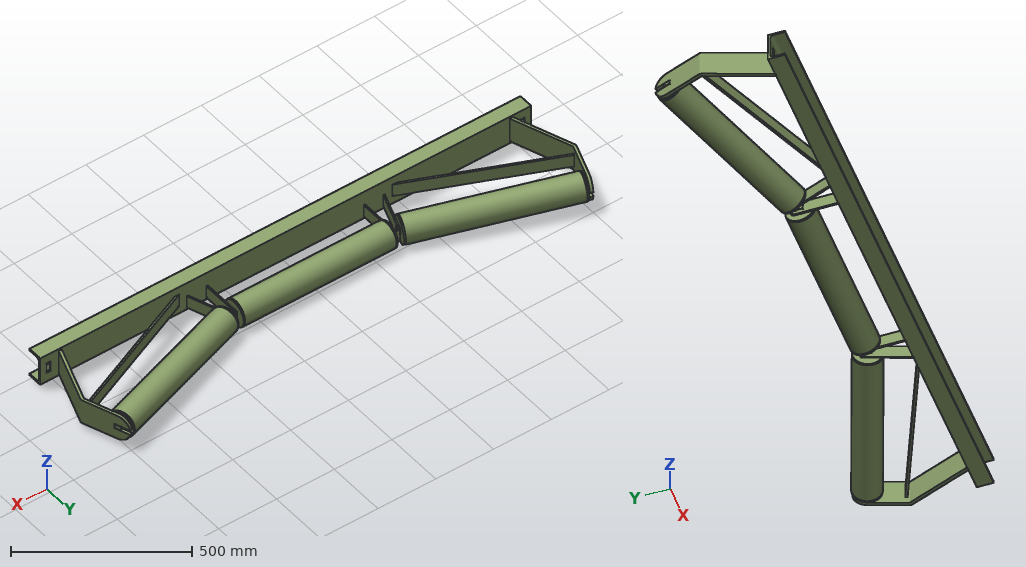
import cadquery as cq
import math


channel_length = 1700.0
channel_height = 100.0
flange_depth = 50.0
section_thickness = 6.0
channel_fillet = 12.0
mount_hole_width = 14.0
mount_hole_height = 35.0
mount_hole_x = 820.0

roller_length = 535.0
roller_diameter = 89.0
rim_diameter = 87.0
rim_length = 5.0
shaft_diameter = 22.0
shaft_flat = 14.0
trough_angle = 20.0
forward_tilt = 2.0
centre_roller_y = 117.0
centre_roller_z = -20.0

outer_height = 85.0
outer_thickness = 10.0
outer_bend_radius = 15.0
outer_half_span = 857.0
outer_foot_x = 787.0
outer_prong_y = 348.0
shaft_to_tip = 41.0
slot_width = 15.0
side_roller_gap = 3.0

inner_height = 43.0
inner_thickness = 5.0
inner_bend_radius = 7.0
inner_top_y = 139.0
inner_leg_gap = 2.5
inner_foot_x = 338.0

strut_thickness = 7.0
strut_height = 43.0
strut_angle = 23.6
strut_foot_x = 368.0

sin_trough = math.sin(math.radians(trough_angle))
cos_trough = math.cos(math.radians(trough_angle))
tan_trough = math.tan(math.radians(trough_angle))

corner_x = outer_half_span + outer_bend_radius * (1 / cos_trough - 1)
corner_y = (corner_x - outer_foot_x) / tan_trough

tip_radius = outer_height / 2
prong_drop = tip_radius - math.sqrt(tip_radius**2 - (slot_width / 2) ** 2)
upper_leg_length = (outer_prong_y - corner_y) / cos_trough + prong_drop

shaft_seat = upper_leg_length - shaft_to_tip
shaft_end_x = -corner_x + shaft_seat * sin_trough
shaft_end_y = corner_y + shaft_seat * cos_trough

side_shaft_length = shaft_end_y * sin_trough - (inner_foot_x + shaft_end_x) * cos_trough

inner_leg_x = roller_length / 2 + inner_leg_gap
inner_bottom_z = -outer_height / 2


def mirrored(body):
    return body.mirror("YZ")


def make_channel():
    half_height = channel_height / 2
    profile = (
        cq.Workplane("YZ")
        .moveTo(0, -half_height)
        .lineTo(0, half_height)
        .lineTo(-flange_depth, half_height)
        .lineTo(-flange_depth, half_height - section_thickness)
        .lineTo(-section_thickness, half_height - section_thickness)
        .lineTo(-section_thickness, section_thickness - half_height)
        .lineTo(-flange_depth, section_thickness - half_height)
        .lineTo(-flange_depth, -half_height)
        .close()
    )
    beam = profile.extrude(channel_length / 2, both=True)
    for side in (-1, 1):
        inside_corner = (0, -section_thickness, side * (half_height - section_thickness))
        beam = beam.edges(cq.selectors.NearestToPointSelector(inside_corner)).fillet(channel_fillet)
    holes = (
        cq.Workplane("XZ")
        .pushPoints([(-mount_hole_x, 0), (mount_hole_x, 0)])
        .rect(mount_hole_width, mount_hole_height)
        .extrude(section_thickness)
    )
    return beam.cut(holes)


def make_roller(tube_start, shaft_length):
    """A roller along +X whose flatted shaft starts at the origin."""
    def cylinder(start, length, diameter):
        return cq.Workplane("YZ", origin=(start, 0, 0)).circle(diameter / 2).extrude(length)

    flats = cq.Workplane("XY").box(2 * shaft_length, shaft_diameter, shaft_flat)
    shaft = cylinder(0, shaft_length, shaft_diameter).intersect(flats)
    rims = cylinder(tube_start, roller_length, rim_diameter)
    tube = cylinder(tube_start + rim_length, roller_length - 2 * rim_length, roller_diameter)
    return tube.union(rims).union(shaft)


def make_centre_roller():
    tube_start = inner_leg_gap + inner_thickness
    shaft_length = roller_length + 2 * tube_start
    roller = make_roller(tube_start, shaft_length)
    return roller.translate((-shaft_length / 2, centre_roller_y, centre_roller_z))


def on_side_axis(body):
    """Move a body from the X axis onto the axis of the left side roller."""
    tilted = body.rotate((0, 0, 0), (0, 1, 0), forward_tilt)
    sloped = tilted.rotate((0, 0, 0), (0, 0, 1), -trough_angle)
    return sloped.translate((shaft_end_x, shaft_end_y, 0))


def make_side_roller():
    return on_side_axis(make_roller(outer_thickness + side_roller_gap, side_shaft_length))


def make_upper_leg():
    """Upper leg of the outer bracket: round tip, open shaft slot, built in its own plane."""
    leg_plane = cq.Plane(
        origin=(shaft_end_x, shaft_end_y, 0),
        xDir=(sin_trough, cos_trough, 0),
        normal=(cos_trough, -sin_trough, 0),
    )
    arc_start = shaft_to_tip - tip_radius
    plate = (
        cq.Workplane(leg_plane)
        .moveTo(-shaft_seat, -tip_radius)
        .lineTo(arc_start, -tip_radius)
        .threePointArc((shaft_to_tip, 0), (arc_start, tip_radius))
        .lineTo(-shaft_seat, tip_radius)
        .close()
        .extrude(outer_thickness)
    )
    slot_length = shaft_to_tip + shaft_diameter / 2
    slot = (
        cq.Workplane(leg_plane)
        .center(shaft_to_tip - slot_length / 2, 0)
        .rect(slot_length, slot_width)
        .extrude(outer_thickness)
    )
    return plate.cut(slot)


def make_outer_bracket():
    inside_offset = outer_thickness / cos_trough
    lower_leg = (
        cq.Workplane("XY", origin=(0, 0, -outer_height / 2))
        .moveTo(-outer_foot_x, 0)
        .lineTo(-corner_x, corner_y)
        .lineTo(-corner_x + outer_thickness * cos_trough, corner_y - outer_thickness * sin_trough)
        .lineTo(-corner_x + inside_offset, corner_y)
        .lineTo(-outer_foot_x + inside_offset, 0)
        .close()
        .extrude(outer_height)
    )
    bracket = lower_leg.union(make_upper_leg())
    outside_corner = cq.selectors.NearestToPointSelector((-corner_x, corner_y, 0))
    inside_corner = cq.selectors.NearestToPointSelector((-corner_x + inside_offset, corner_y, 0))
    bracket = bracket.edges(outside_corner).fillet(outer_bend_radius)
    return bracket.edges(inside_corner).fillet(outer_bend_radius - outer_thickness)


def make_inner_bracket():
    """Folded strip with one straight and one slanted leg, each holding a shaft end."""
    slant_thickness = inner_thickness / cos_trough
    under_y = inner_top_y - inner_thickness
    outside_foot_x = inner_foot_x + slant_thickness
    slant_top = (-outside_foot_x + inner_top_y * tan_trough, inner_top_y)
    slant_under = (-inner_foot_x + under_y * tan_trough, under_y)
    straight_top = (-inner_leg_x, inner_top_y)
    straight_under = (-inner_leg_x - inner_thickness, under_y)
    strip = (
        cq.Workplane("XY", origin=(0, 0, inner_bottom_z))
        .moveTo(-inner_leg_x, 0)
        .lineTo(*straight_top)
        .lineTo(*slant_top)
        .lineTo(-outside_foot_x, 0)
        .lineTo(-inner_foot_x, 0)
        .lineTo(*slant_under)
        .lineTo(*straight_under)
        .lineTo(-inner_leg_x - inner_thickness, 0)
        .close()
        .extrude(inner_height)
    )
    middle_z = inner_bottom_z + inner_height / 2
    bends = [
        (straight_top, inner_bend_radius),
        (slant_top, inner_bend_radius),
        (straight_under, inner_bend_radius - inner_thickness),
        (slant_under, inner_bend_radius - inner_thickness),
    ]
    for (x, y), radius in bends:
        strip = strip.edges(cq.selectors.NearestToPointSelector((x, y, middle_z))).fillet(radius)

    seat = cq.Workplane("XY").box(3 * inner_thickness, shaft_diameter, slot_width)
    straight_seat = seat.translate((-inner_leg_x, centre_roller_y, centre_roller_z))
    slanted_seat = on_side_axis(seat.translate((side_shaft_length, 0, 0)))
    return strip.cut(straight_seat).cut(slanted_seat)


def make_strut(bracket):
    """Flat bar from the channel to the bend of the outer bracket, trimmed to both."""
    strut_reach = (corner_x - outer_thickness - strut_foot_x) / math.cos(math.radians(strut_angle))
    overrun = 2 * strut_thickness
    bar = (
        cq.Workplane("XY")
        .box(strut_reach + overrun, strut_thickness, strut_height)
        .translate(((overrun - strut_reach) / 2, -strut_thickness / 2, 0))
        .rotate((0, 0, 0), (0, 0, 1), -strut_angle)
        .translate((-strut_foot_x, 0, 0))
    )
    behind_back = cq.Workplane("XY").box(channel_length, channel_height, channel_height)
    return bar.cut(behind_back.translate((0, -channel_height / 2, 0))).cut(bracket)


channel = make_channel()
centre_roller = make_centre_roller()
side_roller = make_side_roller()
outer_bracket = make_outer_bracket()
inner_bracket = make_inner_bracket()
strut = make_strut(outer_bracket)

bodies = [channel.val(), centre_roller.val()]
for left_body in (side_roller, outer_bracket, inner_bracket, strut):
    bodies.append(left_body.val())
    bodies.append(mirrored(left_body).val())

result = cq.Compound.makeCompound(bodies)